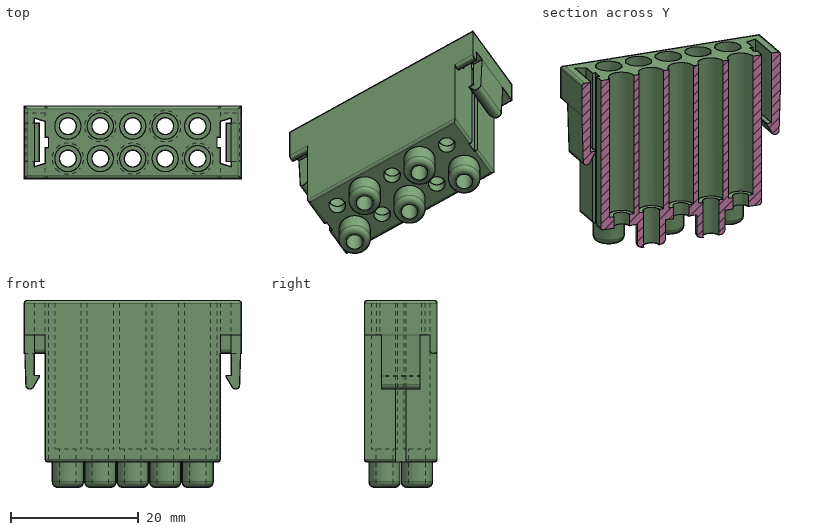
import cadquery as cq

head_length = 34.0
body_length = 27.4
width = 11.4
sleeve_height = 4.0
housing_height = 25.3
head_height = 5.4
top_edge_radius = 0.5
bottom_edge_radius = 0.4
body_bottom = sleeve_height
housing_top = body_bottom + housing_height
head_bottom = housing_top - head_height

pitch = 5.08
columns = 5
rows = 2
sleeve_diameter = 4.9
sleeve_edge_radius = 0.9
contact_diameter = 4.1
wire_diameter = 2.6
bore_floor = 2.0

lip_thickness = 1.1
lip_drop = 2.9
lip_edge_radius = 0.5

arm_width = 6.0
arm_inner_x = 15.4
arm_top_x = 17.0
arm_low_x = 16.75
arm_length = 8.5
arm_tip_rise = 0.7
arm_foot_inner_x = 15.5
arm_foot_inner_rise = 0.4
hook_reach = 0.8
hook_drop = 6.35
hook_lip = 0.2

slot_outer_width = 7.6
slot_inner_width = 6.5
groove_width = 1.6
groove_depth = 0.5

body_end_x = body_length / 2


def contact_point(column, row):
    """Centre of a contact, counted from the -X end and the -Y side."""
    return ((column - (columns - 1) / 2) * pitch, (row - (rows - 1) / 2) * pitch)


contacts = [(column, row) for column in range(columns) for row in range(rows)]
bore_points = [contact_point(column, row) for column, row in contacts]
sleeve_points = [contact_point(column, row) for column, row in contacts if (column + row) % 2 == 0]


def both_ends(solid):
    """Return the +X solid together with its mirror image at -X."""
    return solid.union(solid.mirror("YZ"))


def make_housing():
    """Body and head with rounded bottom and top rims."""
    body = (
        cq.Workplane("XY", origin=(0, 0, body_bottom))
        .rect(body_length, width)
        .extrude(housing_height - head_height)
        .faces("<Z").edges().fillet(bottom_edge_radius)
    )
    head = (
        cq.Workplane("XY", origin=(0, 0, head_bottom))
        .rect(head_length, width)
        .extrude(head_height)
        .faces(">Z").edges().fillet(top_edge_radius)
    )
    return body.union(head)


def make_lip():
    """Lip under the +X overhang of the head, rounded along its lower edges."""
    return (
        cq.Workplane("XY", origin=(body_end_x, width / 2 - lip_thickness, head_bottom - lip_drop))
        .box(head_length / 2 - body_end_x, lip_thickness, lip_drop, centered=False)
        .faces("<Z").edges("|X").fillet(lip_edge_radius)
    )


def make_arm():
    """Tapered latch arm at +X with a hook pointing back at the body."""
    arm_bottom = head_bottom - arm_length
    hook_z = head_bottom - hook_drop
    hook_tip_x = arm_inner_x - hook_reach
    outer_foot_z = arm_bottom + arm_tip_rise
    foot_mid_x = (arm_low_x + arm_foot_inner_x) / 2
    return (
        cq.Workplane("XZ")
        .moveTo(arm_inner_x, head_bottom)
        .lineTo(arm_top_x, head_bottom)
        .lineTo(arm_low_x, outer_foot_z)
        .threePointArc(
            (foot_mid_x, arm_bottom),
            (arm_foot_inner_x, arm_bottom + arm_foot_inner_rise),
        )
        .lineTo(hook_tip_x, hook_z - hook_lip)
        .lineTo(hook_tip_x, hook_z)
        .lineTo(arm_inner_x, hook_z)
        .close()
        .extrude(arm_width / 2, both=True)
    )


def make_slot():
    """Slot through the head at +X, its ends slanted, wider towards the arm."""
    return (
        cq.Workplane("XY", origin=(0, 0, head_bottom))
        .polyline([
            (arm_inner_x, -slot_outer_width / 2),
            (arm_inner_x, slot_outer_width / 2),
            (body_end_x, slot_inner_width / 2),
            (body_end_x, -slot_inner_width / 2),
        ])
        .close()
        .extrude(head_height)
    )


def make_groove():
    """Groove over the full housing height in the +X end of the body."""
    return (
        cq.Workplane("XY", origin=(body_end_x - groove_depth, -groove_width / 2, body_bottom))
        .box(groove_depth, groove_width, housing_height, centered=False)
    )


def make_sleeves():
    """Round sleeves below every second contact, staggered between the two rows."""
    return (
        cq.Workplane("XY")
        .pushPoints(sleeve_points)
        .circle(sleeve_diameter / 2)
        .extrude(sleeve_height)
        .faces("<Z").edges().fillet(sleeve_edge_radius)
    )


def make_contact_bores():
    """Wide bores through the housing, narrowing at a floor near its bottom."""
    wide = (
        cq.Workplane("XY", origin=(0, 0, body_bottom + bore_floor))
        .pushPoints(bore_points)
        .circle(contact_diameter / 2)
        .extrude(housing_height - bore_floor)
    )
    narrow = (
        cq.Workplane("XY")
        .pushPoints(bore_points)
        .circle(wire_diameter / 2)
        .extrude(housing_top)
    )
    return wide.union(narrow)


result = (
    make_housing()
    .union(make_sleeves())
    .union(both_ends(make_lip()))
    .union(both_ends(make_arm()))
    .cut(both_ends(make_slot()))
    .cut(both_ends(make_groove()))
    .cut(make_contact_bores())
)